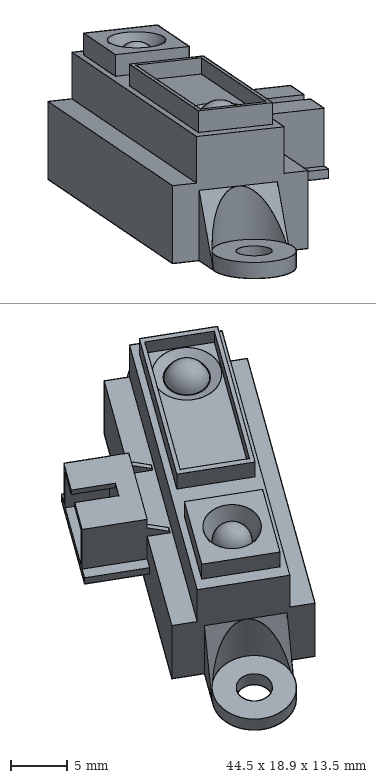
import cadquery as cq


body_width = 13.0
body_top = 7.2
upper_width = 8.4
upper_top = 11.5

ear_spacing = 37.0
ear_radius = 3.75
ear_thickness = 1.5
ear_hole_diameter = 3.2
ear_y = -0.2
body_length = ear_spacing - 2 * ear_radius
ramp_height = 6.5
ramp_reach = 3.35

housing_top = 13.5
housing_width = 7.1
housing_end_margin = 1.15
emitter_length = 7.55
receiver_length = 16.35
housing_end = body_length / 2 - housing_end_margin
emitter_middle_x = -housing_end + emitter_length / 2
receiver_middle_x = housing_end - receiver_length / 2

window_end_wall = 0.5
window_side_wall = 0.4
window_floor = 12.0

emitter_lens_x = -9.8
emitter_lens_radius = 1.8
emitter_recess_radius = 2.6
emitter_recess_depth = 2.0
emitter_dome_sink = 0.0
receiver_lens_x = 9.95
receiver_lens_radius = 2.1
receiver_recess_radius = 3.1
receiver_recess_depth = 0.5
receiver_dome_sink = 0.5

connector_length = 5.9
connector_width = 8.0
connector_bottom = 3.3
connector_top = 9.5
connector_wall = 0.6
flange_width = 10.1
flange_thickness = 0.85
key_slot_width = 1.5
key_slot_length = 4.0
rib_thickness = 0.45
rib_reach = 2.05
rib_high = 8.35
rib_low = 7.4


def box(x_size, y_size, bottom, top, x=0, y=0):
    """Box centred on (x, y) between two heights."""
    plate = cq.Workplane("XY", origin=(x, y, bottom))
    return plate.rect(x_size, y_size).extrude(top - bottom)


def make_body():
    lower = box(body_length, body_width, 0, body_top)
    upper = box(body_length, upper_width, 0, upper_top)
    return lower.union(upper)


def make_ear(side):
    """Mounting ear with its ramp; side is -1 for the -X end, +1 for the +X end."""
    x = side * ear_spacing / 2
    wall_x = side * body_length / 2
    ramp = (
        cq.Workplane("XZ", origin=(0, ear_y + ear_radius, 0))
        .moveTo(wall_x, 0)
        .lineTo(wall_x + side * ramp_reach, 0)
        .lineTo(wall_x, ramp_height)
        .close()
        .extrude(2 * ear_radius)
    )
    screw_clearance = (
        cq.Workplane("XY", origin=(x, ear_y, ear_thickness)).circle(ear_radius).extrude(ramp_height)
    )
    disc = cq.Workplane("XY", origin=(x, ear_y, 0)).circle(ear_radius).extrude(ear_thickness)
    hole = cq.Workplane("XY", origin=(x, ear_y, 0)).circle(ear_hole_diameter / 2).extrude(ear_thickness)
    return ramp.cut(screw_clearance).union(disc).cut(hole)


def make_housings():
    emitter = box(emitter_length, housing_width, upper_top, housing_top, emitter_middle_x)
    receiver = box(receiver_length, housing_width, upper_top, housing_top, receiver_middle_x)
    window = box(
        receiver_length - 2 * window_end_wall,
        housing_width - 2 * window_side_wall,
        window_floor,
        housing_top,
        receiver_middle_x,
    )
    return emitter.union(receiver.cut(window))


def add_lens(part, x, rim_height, recess_radius, recess_depth, lens_radius, dome_sink):
    """Cut a tapered recess down to the lens radius and set a dome on its floor."""
    floor = rim_height - recess_depth
    recess = (
        cq.Workplane("XY", origin=(x, 0, floor))
        .circle(lens_radius)
        .workplane(offset=recess_depth)
        .circle(recess_radius)
        .loft(ruled=True)
    )
    dome = cq.Workplane("XY", origin=(x, 0, floor - dome_sink)).sphere(lens_radius)
    return part.cut(recess).union(dome)


def make_connector():
    front_y = body_width / 2
    back_y = front_y + connector_length
    middle_y = front_y + connector_length / 2
    shell = box(connector_width, connector_length, connector_bottom, connector_top, y=middle_y)
    flange_top = connector_bottom + flange_thickness
    flange = box(flange_width, connector_length, connector_bottom, flange_top, y=middle_y)
    slot_y = back_y - key_slot_length / 2
    cavity = box(
        connector_width - 2 * connector_wall,
        key_slot_length,
        flange_top,
        connector_top - connector_wall,
        y=slot_y,
    )
    key_slot = box(key_slot_width, key_slot_length, flange_top, connector_top, y=slot_y)
    return shell.union(flange).cut(cavity).cut(key_slot)


def make_rib(side):
    """Thin sloped rib bracing one side of the connector against the body's back step."""
    front_y = body_width / 2
    rib_middle_x = side * (connector_width - rib_thickness) / 2
    return (
        cq.Workplane("YZ", origin=(rib_middle_x, 0, 0))
        .moveTo(front_y, body_top)
        .lineTo(front_y, rib_high)
        .lineTo(front_y - rib_reach, rib_low)
        .lineTo(front_y - rib_reach, body_top)
        .close()
        .extrude(rib_thickness / 2, both=True)
    )


result = make_body().union(make_housings()).union(make_connector())
for end in (-1, 1):
    result = result.union(make_ear(end)).union(make_rib(end))
result = add_lens(
    result,
    emitter_lens_x,
    housing_top,
    emitter_recess_radius,
    emitter_recess_depth,
    emitter_lens_radius,
    emitter_dome_sink,
)
result = add_lens(
    result,
    receiver_lens_x,
    window_floor,
    receiver_recess_radius,
    receiver_recess_depth,
    receiver_lens_radius,
    receiver_dome_sink,
)